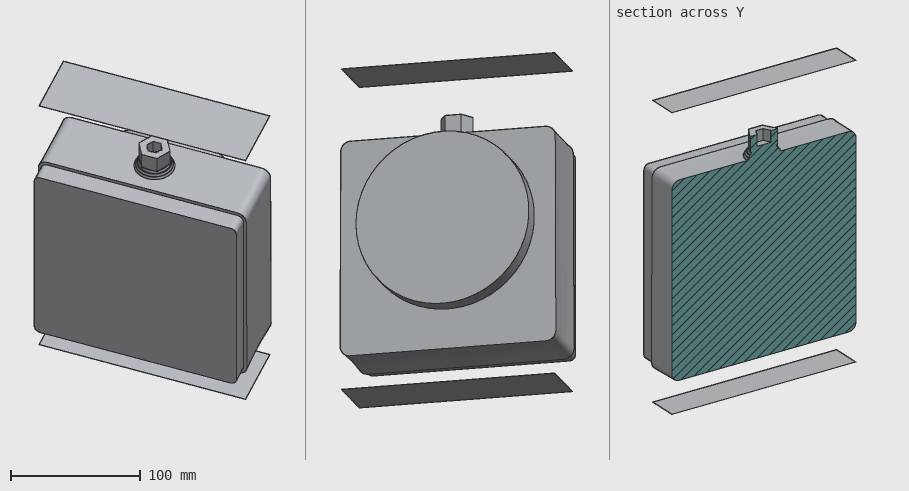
import cadquery as cq
import math


half_depth = 26.4
rim_bottom_width = 172.29
rim_top_width = 171.2
rim_height = 172.1
housing_center_z = -14.5
rim_corner_radius = 8.0
flank_draft = 2.0

core_top_half_depth = 20.0
core_bottom_half_depth = 4.5

cover_size = 166.4
cover_corner_radius = 5.0
cover_front_y = -41.58
collar_diameter = 138.0
collar_back_y = 42.48

hex_across_flats = 22.2
hex_top_z = 91.0
hex_bottom_z = 77.0
foot_rings = [
    (31.5, 29.5, 73.3),
    (29.0, 27.0, 75.2),
    (25.5, 23.5, hex_bottom_z),
]
socket_across_flats = 11.0
socket_depth = 10.0

plate_width = 170.0
plate_depth = 2 * half_depth
plate_thickness = 0.1
plate_top_z = 130.0
plate_bottom_z = -127.0
strip_edge_pitch = 5.4

draft_slope = math.tan(math.radians(flank_draft))
rim_top_z = housing_center_z + rim_height / 2
rim_bottom_z = housing_center_z - rim_height / 2
core_top_inset = draft_slope * (half_depth - core_top_half_depth)
core_top_z = rim_top_z - core_top_inset
core_bottom_inset = draft_slope * (half_depth - core_bottom_half_depth)
core_bottom_z = rim_bottom_z + core_bottom_inset
core_width = rim_bottom_width - 2 * core_bottom_inset
hex_corner_factor = 2 / math.sqrt(3)


def drafted_half(side):
    """Half of the housing: from the rim on this side (-1 front, +1 back) it narrows to the middle plane."""
    rim_plane = cq.Plane(
        origin=(0, side * half_depth, 0),
        xDir=(side, 0, 0),
        normal=(0, -side, 0),
    )
    outline = [
        (-rim_bottom_width / 2, rim_bottom_z),
        (rim_bottom_width / 2, rim_bottom_z),
        (rim_top_width / 2, rim_top_z),
        (-rim_top_width / 2, rim_top_z),
    ]
    rim = cq.Sketch().polygon(outline + outline[:1]).vertices().fillet(rim_corner_radius)
    return cq.Workplane(rim_plane).placeSketch(rim).extrude(half_depth, taper=flank_draft)


def make_core():
    """Straight-sided rounded block that forms the wedge faces between the drafted flanks."""
    return (
        cq.Workplane("XY")
        .box(core_width, 2 * core_top_half_depth, core_top_z - core_bottom_z)
        .edges("|Y and >Z")
        .fillet(rim_corner_radius - core_top_inset)
        .edges("|Y and <Z")
        .fillet(rim_corner_radius - core_bottom_inset)
        .translate((0, 0, (core_top_z + core_bottom_z) / 2))
    )


def make_cover():
    """Square cover with rounded corners in front of the front rim."""
    cover_depth = -half_depth - cover_front_y
    return (
        cq.Workplane("XY")
        .box(cover_size, cover_depth, cover_size)
        .edges("|Y")
        .fillet(cover_corner_radius)
        .translate((0, cover_front_y + cover_depth / 2, housing_center_z))
    )


def make_collar():
    """Round collar behind the back rim."""
    return (
        cq.Workplane("XZ", origin=(0, collar_back_y, 0))
        .circle(collar_diameter / 2)
        .extrude(collar_back_y - half_depth)
    )


def make_foot():
    """Stack of tapered rings under the hex, rooted in the core."""
    profile = [(0, housing_center_z)]
    ring_bottom_z = housing_center_z
    for bottom_diameter, top_diameter, ring_top_z in foot_rings:
        taper_start_z = max(ring_bottom_z, core_top_z)
        profile.append((bottom_diameter / 2, ring_bottom_z))
        if taper_start_z > ring_bottom_z:
            profile.append((bottom_diameter / 2, taper_start_z))
        profile.append((top_diameter / 2, ring_top_z))
        ring_bottom_z = ring_top_z
    profile.append((0, ring_bottom_z))
    return cq.Workplane("XZ").polyline(profile).close().revolve(360, (0, 0), (0, 1))


def hex_prism(across_flats, bottom_z, top_z):
    """Upright hexagonal prism with two corners on the X axis."""
    return (
        cq.Workplane("XY", origin=(0, 0, bottom_z))
        .polygon(6, across_flats * hex_corner_factor)
        .extrude(top_z - bottom_z)
    )


def make_housing():
    housing = drafted_half(-1).union(drafted_half(1)).union(make_core())
    housing = housing.union(make_cover()).union(make_collar())
    housing = housing.union(make_foot()).union(hex_prism(hex_across_flats, hex_bottom_z, hex_top_z))
    return housing.cut(hex_prism(socket_across_flats, hex_top_z - socket_depth, hex_top_z)).solids()


def make_plate(bottom_z):
    """Thin plate divided into diagonal strips at 45 degrees, counted from its front right corner."""
    blank = (
        cq.Workplane("XY", origin=(0, 0, bottom_z))
        .rect(plate_width, plate_depth)
        .extrude(plate_thickness)
    )
    diagonal_span = (plate_width + plate_depth) / math.sqrt(2)
    strip_width = strip_edge_pitch / math.sqrt(2)
    strip_count = math.ceil(diagonal_span / strip_width)
    strips = []
    for index in range(strip_count):
        offset = -diagonal_span / 2 + (index + 0.5) * strip_width
        cutter = (
            cq.Workplane("XY")
            .rect(2 * diagonal_span, strip_width)
            .extrude(plate_thickness)
            .translate((0, offset, 0))
            .rotate((0, 0, 0), (0, 0, 1), 45)
            .translate((0, 0, bottom_z))
        )
        strips.append(blank.intersect(cutter).val())
    return cq.Workplane(strips[0].fuse(*strips[1:])).solids()


housing = make_housing()
upper_plate = make_plate(plate_top_z - plate_thickness)
lower_plate = make_plate(plate_bottom_z)

result = cq.Compound.makeCompound([housing.val(), upper_plate.val(), lower_plate.val()])